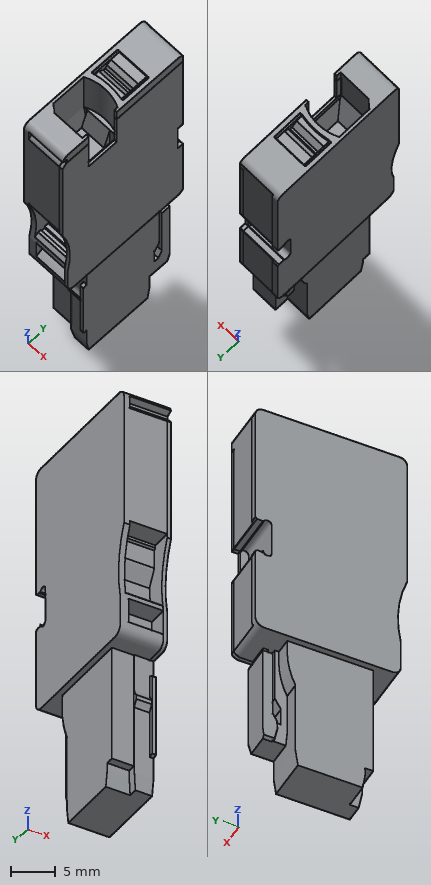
import cadquery as cq

width = 6.1
depth = 19.0
height = 50.95
housing_bottom = 18.2
cover_thickness = 0.5
cover_inner_x = width - cover_thickness
cover_top = 49.2
lower_front_y = 0.8
top_radius = 1.0
bottom_radius = 1.1
rear_rim = 0.85
rear_set_back = 0.15

finger_top = 32.6
finger_middle = 26.75
finger_bottom = 23.15
finger_deepest_y = 1.15

notch_bottom, notch_top = 29.5, 34.2
notch_depth = 0.95
slot_bottom, slot_top = 29.2, 34.5
slot_width = 1.05
slot_center_y = depth - notch_depth - slot_width / 2

window_x = 0.75
finger_window_top = 33.1
lower_window_x = 1.1
lower_window_floor = 19.9

entry_left, entry_right = 0.4, 5.75
entry_front, entry_side_back, entry_back = 3.45, 8.95, 9.6
entry_corner_x, entry_corner_y = 1.3, 4.25
entry_shoulder = 43.8
entry_floor = 40.75
floor_left, floor_right = 0.95, 4.55
floor_front, floor_back = 5.1, 8.05
side_opening_front, side_opening_back = 4.1, 8.45

latch_left, latch_right = 0.6, 5.5
latch_front, latch_back = 10.05, 14.05
latch_rim = 0.25
latch_rim_depth = 0.15

plug_x = 0.75
step_x = 3.6
plug_front = 3.75
plug_step_front = 3.85
plug_back = 13.6
plug_taper = 0.3
root = 0.5
taper_start = 2.1
foot_top = 3.05
foot_front = 4.9
arm_x = 2.55
web_x = 2.8
latch_bottom = 4.75
latch_taper_start = 6.25
latch_taper = 0.3
arm_foot = 7.35
arm_top = 17.3


def prism(outline, x_from, x_to):
    """Extrude a closed (y, z) outline between two X positions."""
    return outline.extrude(x_to - x_from).translate((x_from, 0, 0))


def polygon(points):
    """Closed straight-sided outline in the YZ plane."""
    return cq.Workplane("YZ").polyline(points).close()


def side_profile(points):
    """Straight-sided (x, z) outline extruded over the full depth."""
    return cq.Workplane("XZ").polyline(points).close().extrude(-depth)


def case_outline():
    """Side outline shared by the housing and the cover, with its rounded corners."""
    outline = (
        cq.Workplane("YZ")
        .moveTo(lower_front_y, housing_bottom)
        .lineTo(lower_front_y, finger_bottom)
        .threePointArc((finger_deepest_y, finger_middle), (0, finger_top))
        .lineTo(0, height)
        .lineTo(depth, height)
        .lineTo(depth, housing_bottom)
        .close()
    )
    case = prism(outline, 0, width)
    case = case.edges("|X and >Z").fillet(top_radius)
    case = case.edges("|X and <Z").fillet(bottom_radius)
    return case.cut(rear_notch()).cut(rear_relief())


def rear_relief():
    """Thin layer removed from the rear face, leaving a rim along the left side."""
    return cq.Workplane("XY").box(
        width - rear_rim, rear_set_back, height, centered=False
    ).translate((rear_rim, depth - rear_set_back, 0))


def rear_notch():
    """Notch across the rear edge, with its mouth slightly flared."""
    flare = 0.2
    floor_y = depth - notch_depth
    return prism(
        polygon([
            (floor_y, notch_bottom),
            (depth - flare, notch_bottom),
            (depth, notch_bottom - flare),
            (depth, notch_top + flare),
            (depth - flare, notch_top),
            (floor_y, notch_top),
        ]),
        0,
        width,
    )


def rear_slot():
    """Round-ended slot along the floor of the notch, closed by the cover."""
    outline = (
        cq.Workplane("YZ")
        .center(slot_center_y, (slot_bottom + slot_top) / 2)
        .slot2D(slot_top - slot_bottom, slot_width, 90)
    )
    return prism(outline, 0, cover_inner_x)


def finger_window():
    """Recess behind the finger hollow, with a curved rear wall and a grooved, sloping sill."""
    upper_y, deepest_y = 2.8, 3.8
    sill_top, sill_front = 24.35, 23.75
    groove_front, groove_back, groove_floor = 1.9, 2.5, 23.95
    outline = (
        cq.Workplane("YZ")
        .moveTo(0, finger_window_top)
        .lineTo(2.55, finger_window_top)
        .lineTo(2.55, 32.75)
        .lineTo(upper_y, 32.55)
        .lineTo(upper_y, 30.15)
        .lineTo(2.9, 29.85)
        .lineTo(3.7, 28.3)
        .lineTo(deepest_y, 28.0)
        .threePointArc((3.65, 26.25), (3.05, sill_top))
        .lineTo(groove_back, sill_top)
        .lineTo(groove_back, groove_floor)
        .lineTo(groove_front, groove_floor)
        .lineTo(groove_front, sill_top)
        .lineTo(1.5, sill_top)
        .lineTo(lower_front_y, sill_front)
        .lineTo(0, sill_front)
        .close()
    )
    return prism(outline, window_x, cover_inner_x)


def lower_window():
    """Small recess below the finger window, with a curved floor."""
    rear_y = 3.3
    outline = (
        cq.Workplane("YZ")
        .moveTo(0, lower_window_floor)
        .lineTo(lower_front_y, lower_window_floor)
        .threePointArc((1.7, 20.45), (2.75, 20.85))
        .lineTo(3.2, 21.75)
        .lineTo(rear_y, 22.0)
        .lineTo(rear_y, finger_bottom)
        .lineTo(0, finger_bottom)
        .close()
    )
    return prism(outline, lower_window_x, cover_inner_x)


def marker_slot():
    """Undercut below the front top edge, open to the right side."""
    return prism(
        polygon([(0, 48.5), (0.2, 48.8), (0.75, 49.35), (0.75, 49.8), (0, 50.2)]),
        window_x,
        width,
    )


def latch_recess():
    """Stepped recess with a valley across it, its front wall bowed like the wire entry."""
    rim = cq.Workplane("XY").box(
        latch_right - latch_left, latch_back - latch_front, latch_rim_depth, centered=False
    ).translate((latch_left, latch_front, height - latch_rim_depth))
    rear_floor, valley_floor, front_floor = 50.7, 49.75, 50.45
    valley = prism(
        polygon([
            (latch_back, height),
            (latch_back, rear_floor),
            (12.75, rear_floor),
            (12.15, 50.2),
            (11.85, valley_floor),
            (11.55, valley_floor),
            (10.85, front_floor),
            (latch_front, front_floor),
            (latch_front, height),
        ]),
        latch_left + latch_rim,
        latch_right - latch_rim,
    )
    bow_half_width, bow_depth, bow_height = 2.05, 0.2, 1.55
    middle_x = (latch_left + latch_right) / 2
    bow = (
        cq.Workplane("XY", origin=(middle_x, latch_front, height - bow_height))
        .moveTo(-bow_half_width, 0)
        .threePointArc((0, bow_depth), (bow_half_width, 0))
        .close()
        .extrude(bow_height)
    )
    return rim.union(valley).cut(bow)


def wire_entry():
    """Shaft with a bowed rear wall, ending in a funnel with a ramp at the rear."""
    middle_x = (entry_left + entry_right) / 2
    shaft = (
        cq.Workplane("XY", origin=(0, 0, entry_shoulder))
        .moveTo(entry_corner_x, entry_front)
        .lineTo(entry_right, entry_front)
        .lineTo(entry_right, entry_side_back)
        .threePointArc((middle_x, entry_back), (entry_left, entry_side_back))
        .lineTo(entry_left, entry_corner_y)
        .close()
        .extrude(height - entry_shoulder)
    )
    funnel = (
        cq.Workplane("XY", origin=(0, 0, entry_shoulder))
        .polyline([
            (entry_left, entry_front),
            (entry_right, entry_front),
            (entry_right, entry_side_back),
            (entry_left, entry_side_back),
        ])
        .close()
        .workplane(offset=entry_floor - entry_shoulder)
        .polyline([
            (floor_left, floor_front),
            (floor_right, floor_front),
            (floor_right, entry_side_back),
            (floor_left, entry_side_back),
        ])
        .close()
        .loft(ruled=True)
    )
    ramp = prism(
        polygon([
            (floor_back, entry_floor),
            (entry_side_back, entry_shoulder),
            (entry_side_back, entry_floor),
        ]),
        floor_left,
        floor_right,
    )
    return shaft.union(funnel).cut(ramp)


def side_opening():
    """Opening from the wire entry through the right side."""
    return cq.Workplane("XY").box(
        width - floor_right,
        side_opening_back - side_opening_front,
        height - entry_shoulder,
        centered=False,
    ).translate((floor_right, side_opening_front, entry_shoulder))


def cover_space():
    """Everything the cover may fill: a slab at the right side, below the top edge."""
    return cq.Workplane("XY").box(
        cover_thickness, depth, cover_top, centered=False
    ).translate((cover_inner_x, 0, 0))


def build_housing():
    housing = case_outline().cut(cover_space())
    for feature in (rear_slot, finger_window, lower_window, marker_slot,
                    latch_recess, wire_entry, side_opening):
        housing = housing.cut(feature())
    return housing


def build_cover():
    cover = case_outline().intersect(cover_space())
    for feature in (marker_slot, wire_entry, side_opening):
        cover = cover.cut(feature())
    return cover


def plug_core():
    """Tapered block, set back slightly on its left half, with a stepped foot."""
    block = prism(
        polygon([
            (plug_front, housing_bottom),
            (plug_front, taper_start),
            (plug_front + plug_taper, 0),
            (plug_back - plug_taper, 0),
            (plug_back, taper_start),
            (plug_back, housing_bottom),
        ]),
        plug_x,
        width,
    )
    set_back = prism(
        polygon([
            (0, housing_bottom),
            (plug_step_front, housing_bottom),
            (plug_step_front, foot_top),
            (foot_front, foot_top),
            (foot_front, taper_start),
            (foot_front + plug_taper, 0),
            (0, 0),
        ]),
        plug_x,
        step_x + plug_taper,
    )
    left_half = side_profile([
        (0, 0),
        (step_x + plug_taper, 0),
        (step_x, taper_start),
        (step_x, housing_bottom),
        (0, housing_bottom),
    ])
    return block.cut(set_back.intersect(left_half))


def curved_shoulder():
    """Widening at the rear of the plug that blends into the straight back."""
    shoulder_y = 14.6
    shoulder_bottom = 11.9
    outline = (
        cq.Workplane("YZ")
        .moveTo(plug_front + root, housing_bottom)
        .lineTo(shoulder_y, housing_bottom)
        .lineTo(shoulder_y, 16.15)
        .threePointArc((14.3, 13.9), (plug_back, shoulder_bottom))
        .lineTo(plug_front + root, shoulder_bottom)
        .close()
    )
    return prism(outline, plug_x, width)


def rear_web():
    """Web behind the plug that carries the latch arm, beveled at its lower left edge."""
    web_y, waist_y, foot_y = 15.15, 14.35, 15.3
    web = prism(
        polygon([
            (plug_back - root, housing_bottom),
            (web_y, housing_bottom),
            (web_y, 10.9),
            (waist_y, 9.65),
            (waist_y, arm_foot),
            (foot_y, arm_foot),
            (foot_y, latch_bottom),
            (plug_back - root, latch_bottom),
        ]),
        web_x,
        width,
    )
    return web.intersect(side_profile([
        (web_x, housing_bottom),
        (web_x, latch_taper_start),
        (web_x + latch_taper, latch_bottom),
        (width, latch_bottom),
        (width, housing_bottom),
    ]))


def latch_arm():
    """Springy arm rising from the foot of the web, beveled twice at its lower left edge."""
    arm_inner, arm_outer = 15.55, 16.75
    tip_inset = 0.7
    arm = prism(
        polygon([
            (15.15, latch_bottom),
            (14.95, latch_taper_start),
            (15.0, arm_foot),
            (arm_inner, 8.35),
            (arm_inner, arm_top),
            (arm_outer, arm_top),
            (arm_outer, 5.95),
            (16.4, latch_bottom),
        ]),
        arm_x,
        width,
    )
    return arm.intersect(side_profile([
        (arm_x, arm_top),
        (arm_x, latch_taper_start),
        (arm_x + latch_taper, 5.0),
        (arm_x + tip_inset, latch_bottom),
        (width, latch_bottom),
        (width, arm_top),
    ]))


def arm_stub():
    """Narrow stub between the top of the arm and the housing."""
    stub_front, stub_back = 15.85, 16.45
    stub_inset = 0.5
    return cq.Workplane("XY").box(
        width - arm_x - 2 * stub_inset, stub_back - stub_front, housing_bottom - arm_top, centered=False
    ).translate((arm_x + stub_inset, stub_front, arm_top))


def front_tab():
    """Long tab along the right side of the plug's front."""
    tab_y = 3.25
    tab_bottom, tab_top = 4.95, 16.0
    return prism(
        polygon([(plug_front, tab_top), (tab_y, 15.75), (tab_y, 5.15), (plug_front, tab_bottom),
                 (plug_front + root, tab_bottom), (plug_front + root, tab_top)]),
        cover_inner_x,
        width,
    )


def front_rib():
    """Short ridge across the right half of the plug's front."""
    rib_y, shoulder_y = 3.35, 3.65
    rib_bottom, rib_top = 11.0, 13.3
    return prism(
        polygon([
            (plug_front + root, rib_top),
            (plug_front, rib_top),
            (shoulder_y, 12.95),
            (rib_y, 12.5),
            (rib_y, 11.9),
            (shoulder_y, 11.3),
            (plug_front, rib_bottom),
            (plug_front + root, rib_bottom),
        ]),
        step_x,
        cover_inner_x,
    )


def build_plug():
    plug = plug_core()
    for feature in (curved_shoulder, rear_web, latch_arm, arm_stub, front_tab, front_rib):
        plug = plug.union(feature())
    return plug


housing = build_housing()
cover = build_cover()
plug = build_plug()

result = cq.Compound.makeCompound([housing.val(), cover.val(), plug.val()])